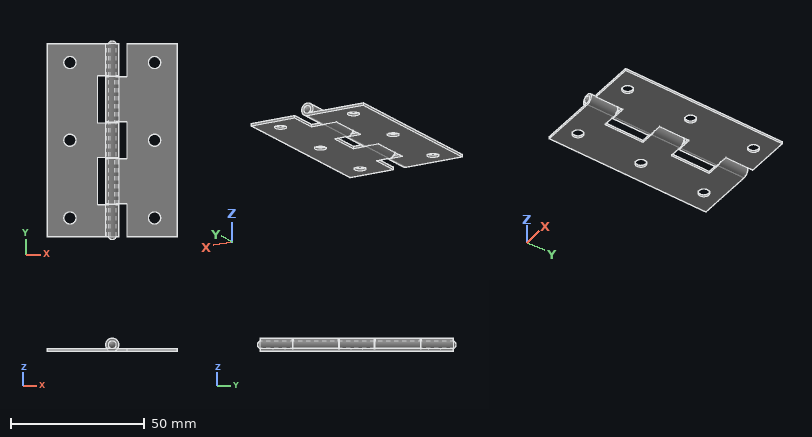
import cadquery as cq
import math

hinge_width = 49.0
pin_length = 74.7
leaf_length = 72.7
knuckle_diameter = 5.0
pin_diameter = 3.0

knuckle_radius = knuckle_diameter / 2
pin_radius = pin_diameter / 2
sheet_thickness = knuckle_radius - pin_radius
axis_height = knuckle_radius

leaf_inner_edge = 5.5
curl_end_height = 1.3
knuckle_gap = 0.3
center_knuckle_length = 13.15
end_knuckle_length = 12.2

hole_diameter = 4.5
hole_offset = 15.9
hole_pitch = 29.2

leaf_end = leaf_length / 2
center_end = center_knuckle_length / 2
end_knuckle_start = leaf_end - end_knuckle_length
left_spans = [
    (-leaf_end, -end_knuckle_start),
    (-center_end, center_end),
    (end_knuckle_start, leaf_end),
]
between_start = center_end + knuckle_gap
between_end = end_knuckle_start - knuckle_gap
right_spans = [
    (-between_end, -between_start),
    (between_start, between_end),
]


def make_plate():
    """Flat plate on the -X side, with a column of three screw holes."""
    plate_width = hinge_width / 2 - leaf_inner_edge
    plate = cq.Workplane("XY").box(
        plate_width, leaf_length, sheet_thickness, centered=(False, True, False)
    ).translate((-hinge_width / 2, 0, 0))
    holes = (
        cq.Workplane("XY")
        .pushPoints([(-hole_offset, row * hole_pitch) for row in (-1, 0, 1)])
        .circle(hole_diameter / 2)
        .extrude(sheet_thickness)
    )
    return plate.cut(holes)


def make_knuckle(start, end):
    """Tab from the -X plate, rolled up and over the pin to a flat-cut end."""
    drop = axis_height - curl_end_height
    outer_end = -math.sqrt(knuckle_radius**2 - drop**2)
    inner_end = -math.sqrt(pin_radius**2 - drop**2)
    profile = (
        cq.Workplane("XZ", origin=(0, end, 0))
        .moveTo(-leaf_inner_edge, 0)
        .lineTo(0, 0)
        .threePointArc((0, knuckle_diameter), (outer_end, curl_end_height))
        .lineTo(inner_end, curl_end_height)
        .threePointArc((0, axis_height + pin_radius), (0, sheet_thickness))
        .lineTo(-leaf_inner_edge, sheet_thickness)
        .close()
    )
    return profile.extrude(end - start)


def make_leaf(spans):
    """One leaf on the -X side: plate and its knuckles."""
    leaf = make_plate()
    for start, end in spans:
        leaf = leaf.union(make_knuckle(start, end))
    return leaf


def make_pin():
    """Round pin along Y, with a shallow dome beyond each end of the leaves."""
    dome_height = (pin_length - leaf_length) / 2
    dome_radius = (pin_radius**2 + dome_height**2) / (2 * dome_height)
    half_way = dome_radius - dome_height / 2
    arc_x = math.sqrt(dome_radius**2 - half_way**2)
    arc_y = leaf_end + dome_height / 2
    tip = pin_length / 2
    return (
        cq.Workplane("XY", origin=(0, 0, axis_height))
        .moveTo(0, -tip)
        .threePointArc((arc_x, -arc_y), (pin_radius, -leaf_end))
        .lineTo(pin_radius, leaf_end)
        .threePointArc((arc_x, arc_y), (0, tip))
        .close()
        .revolve(360, (0, 0, 0), (0, 1, 0))
    )


left_leaf = make_leaf(left_spans)
right_leaf = make_leaf(right_spans).mirror("YZ")
pin = make_pin()

result = cq.Compound.makeCompound([left_leaf.val(), right_leaf.val(), pin.val()])